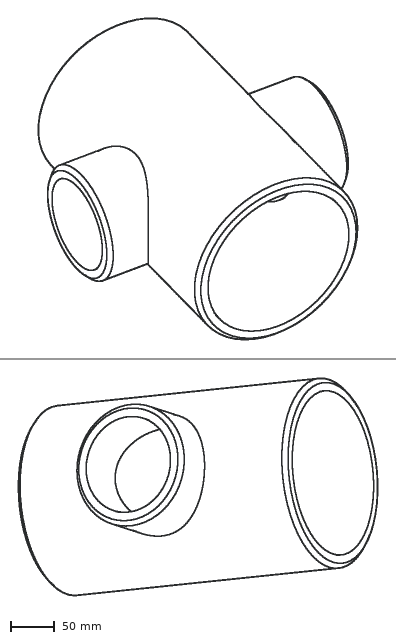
import cadquery as cq

run_length = 355.5
run_diameter = 219.0
run_bore = 189.2

branch_span = 324.0
branch_diameter = 141.5
branch_bore = 111.3

end_chamfer = 5.5


def cylinder_along(plane, diameter, length):
    """Cylinder centred on the origin, along the normal of the plane."""
    return cq.Workplane(plane).circle(diameter / 2).extrude(length / 2, both=True)


def bevelled_cylinder(plane, diameter, length):
    """Centred cylinder with both outer end edges chamfered."""
    return cylinder_along(plane, diameter, length).edges("%CIRCLE").chamfer(end_chamfer)


run = bevelled_cylinder("YZ", run_diameter, run_length)
branches = bevelled_cylinder("XZ", branch_diameter, branch_span)
body = run.union(branches)

body = body.cut(cylinder_along("YZ", run_bore, run_length))
result = body.cut(cylinder_along("XZ", branch_bore, branch_span))